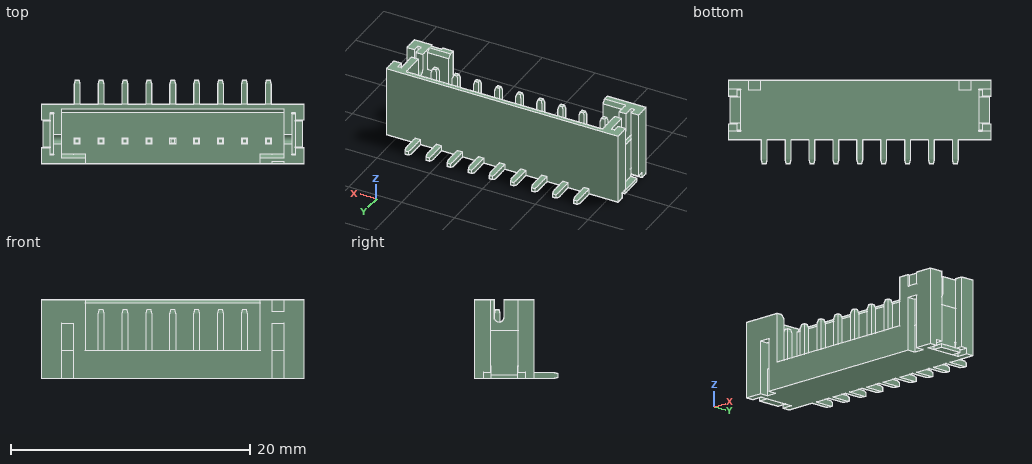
import cadquery as cq


LENGTH = 21.95
DEPTH = 5.0
HEIGHT = 6.6
MID_Y = DEPTH / 2

FRONT_WALL = 0.81
BACK_WALL = 0.7
CAVITY_LENGTH = 18.6
FLOOR_Z = 2.35
RIM_CHAMFER = 0.3

WINDOW_LENGTH = 14.6
SLOT_WIDTH = 0.99
SLOT_HEIGHT = 4.6
SLOT_X = (CAVITY_LENGTH - SLOT_WIDTH) / 2
MARK_HEIGHT = 1.0
MARK_DEPTH = 0.2

NOTCH_WIDTH = 0.8
NOTCH_HEIGHT = 1.89
NOTCH_Y = 2.06
END_WALL = 0.65
CHANNEL_WIDTH = 2.3
TAB_SLOT_WIDTH = 3.51
FOOT_RECESS_HEIGHT = 0.5

TAB_THICKNESS = 0.3
TAB_WIDTH = 3.4
TAB_HEIGHT = 4.0
FOOT_WIDTH = 2.2
FOOT_END_GAP = 0.1
TONGUE_HEIGHT = 1.03

TAB_INNER_X = CAVITY_LENGTH / 2 + END_WALL
TAB_OUTER_X = TAB_INNER_X + TAB_THICKNESS

PIN_COUNT = 9
PIN_PITCH = 2.0
PIN_SIZE = 0.5
PIN_Y = 1.9
PIN_TOP_Z = 5.75
LEAD_LENGTH = 2.0
TIP_LENGTH = 0.33
TIP_INSET = 0.09


def block(x_min, x_max, y_min, y_max, z_min, z_max):
    """Rectangular block between the given limits."""
    return cq.Workplane("XY").box(
        x_max - x_min, y_max - y_min, z_max - z_min, centered=False
    ).translate((x_min, y_min, z_min))


def both_ends(shape):
    """The shape together with its mirror image at the opposite end."""
    return shape.union(shape.mirror("YZ"))


def cavity():
    """Open-topped cavity whose front and back rims are chamfered."""
    front = FRONT_WALL
    back = DEPTH - BACK_WALL
    return (
        cq.Workplane("YZ")
        .moveTo(front, FLOOR_Z)
        .lineTo(back, FLOOR_Z)
        .lineTo(back, HEIGHT - RIM_CHAMFER)
        .lineTo(back + RIM_CHAMFER, HEIGHT)
        .lineTo(front - RIM_CHAMFER, HEIGHT)
        .lineTo(front, HEIGHT - RIM_CHAMFER)
        .close()
        .extrude(CAVITY_LENGTH / 2, both=True)
    )


def window():
    """Wide opening in the front wall, from the cavity floor to the rim."""
    return block(-WINDOW_LENGTH / 2, WINDOW_LENGTH / 2, 0, FRONT_WALL, FLOOR_Z, HEIGHT)


def front_slot():
    """Slot through the front wall at the end of the cavity, open at the bottom."""
    return block(SLOT_X - SLOT_WIDTH / 2, SLOT_X + SLOT_WIDTH / 2, 0, FRONT_WALL, 0, SLOT_HEIGHT)


def first_pin_mark():
    """Shallow pocket at the top of the front face, above the +X slot."""
    return block(
        SLOT_X - SLOT_WIDTH / 2, SLOT_X + SLOT_WIDTH / 2, 0, MARK_DEPTH, HEIGHT - MARK_HEIGHT, HEIGHT
    )


def end_notch():
    """Round-bottomed notch in the top of the end wall."""
    radius = NOTCH_WIDTH / 2
    bottom = HEIGHT - NOTCH_HEIGHT
    return (
        cq.Workplane("YZ", origin=(CAVITY_LENGTH / 2, 0, 0))
        .moveTo(NOTCH_Y - radius, HEIGHT)
        .lineTo(NOTCH_Y - radius, bottom + radius)
        .threePointArc((NOTCH_Y, bottom), (NOTCH_Y + radius, bottom + radius))
        .lineTo(NOTCH_Y + radius, HEIGHT)
        .close()
        .extrude(END_WALL)
    )


def across(x_min, x_max, width, z_min, z_max):
    """Block of the given width, centred on the middle of the housing depth."""
    return block(x_min, x_max, MID_Y - width / 2, MID_Y + width / 2, z_min, z_max)


def tab_seat():
    """Channel in the end face, the slot behind it and the clearance around the foot."""
    channel = across(TAB_OUTER_X, LENGTH / 2, CHANNEL_WIDTH, 0, HEIGHT)
    slot = across(TAB_INNER_X, TAB_OUTER_X, TAB_SLOT_WIDTH, 0, HEIGHT)
    recess = across(TAB_OUTER_X, LENGTH / 2, TAB_SLOT_WIDTH, 0, FOOT_RECESS_HEIGHT)
    return slot.union(channel).union(recess)


def square_pin(length):
    """Square pin rising from the origin along Z, tapered at its upper end."""
    tip_size = PIN_SIZE - 2 * TIP_INSET
    shank = cq.Workplane("XY").rect(PIN_SIZE, PIN_SIZE).extrude(length - TIP_LENGTH)
    tip = (
        cq.Workplane("XY", origin=(0, 0, length - TIP_LENGTH))
        .rect(PIN_SIZE, PIN_SIZE)
        .workplane(offset=TIP_LENGTH)
        .rect(tip_size, tip_size)
        .loft()
    )
    return shank.union(tip)


def pin_and_lead(x):
    """Upright pin in the cavity and its lead behind the housing, rooted in the housing."""
    pin = square_pin(PIN_TOP_Z).translate((x, PIN_Y, 0))
    lead_start = DEPTH - BACK_WALL
    lead = (
        square_pin(BACK_WALL + LEAD_LENGTH)
        .rotate((0, 0, 0), (1, 0, 0), -90)
        .translate((x, lead_start, PIN_SIZE / 2))
    )
    return pin, lead


def make_housing():
    """Housing with its cavity, openings and moulded-in pins."""
    body = block(-LENGTH / 2, LENGTH / 2, 0, DEPTH, 0, HEIGHT)
    body = body.cut(cavity()).cut(window()).cut(first_pin_mark())
    for opening in (front_slot(), end_notch(), tab_seat()):
        body = body.cut(both_ends(opening))
    for index in range(PIN_COUNT):
        pin, lead = pin_and_lead((index - (PIN_COUNT - 1) / 2) * PIN_PITCH)
        body = body.union(pin).union(lead)
    return body


def make_solder_tab():
    """Tab for the +X end: a wide plate narrowing to a tongue that bends out into a foot."""
    plate = across(TAB_INNER_X, TAB_OUTER_X, TAB_WIDTH, TONGUE_HEIGHT, TAB_HEIGHT)
    tongue = across(TAB_INNER_X, TAB_OUTER_X, FOOT_WIDTH, 0, TONGUE_HEIGHT)
    foot = across(TAB_OUTER_X, LENGTH / 2 - FOOT_END_GAP, FOOT_WIDTH, 0, TAB_THICKNESS)
    return plate.union(tongue).union(foot)


housing = make_housing()

solder_tabs = []
for turn in (0, 180):
    tab = make_solder_tab().rotate((0, MID_Y, 0), (0, MID_Y, 1), turn)
    solder_tabs.append(tab.val())

result = cq.Compound.makeCompound([housing.val(), *solder_tabs])